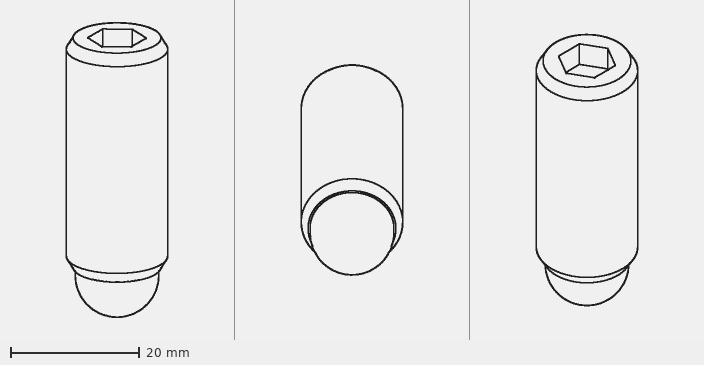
import cadquery as cq
import math

body_diameter = 15.875
overall_length = 46.0375
body_length = 38.1

chamfer_length = 1.86
chamfer_angle = math.radians(30)

nose_diameter = 13.1

socket_across_flats = 7.9375
socket_depth = 4.0
socket_sides = 6

body_radius = body_diameter / 2
end_radius = body_radius - chamfer_length * math.tan(chamfer_angle)
nose_radius = nose_diameter / 2
body_bottom = overall_length - body_length
socket_across_corners = socket_across_flats / math.cos(math.pi / socket_sides)


def make_screw_blank():
    """Revolve the half profile about Z, with the nose tip at the origin."""
    arc_middle = nose_radius / math.sqrt(2)
    return (
        cq.Workplane("XZ")
        .moveTo(0, 0)
        .threePointArc((arc_middle, nose_radius - arc_middle), (nose_radius, nose_radius))
        .lineTo(nose_radius, body_bottom)
        .lineTo(end_radius, body_bottom)
        .lineTo(body_radius, body_bottom + chamfer_length)
        .lineTo(body_radius, overall_length - chamfer_length)
        .lineTo(end_radius, overall_length)
        .lineTo(0, overall_length)
        .close()
        .revolve(360, (0, 0), (0, 1))
    )


def make_socket():
    """Flat-bottomed hexagonal prism that opens at the top face."""
    return (
        cq.Workplane("XY")
        .workplane(offset=overall_length - socket_depth)
        .polygon(socket_sides, socket_across_corners)
        .extrude(socket_depth)
    )


result = make_screw_blank().cut(make_socket())